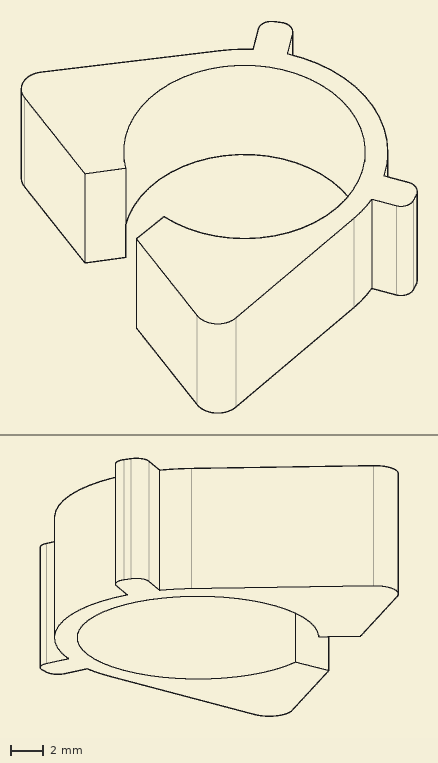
import cadquery as cq
import math

width = 24.8
depth = 18.55
height = 8.0

bore_radius = 7.55
outer_radius = 8.95
ring_y = depth - outer_radius

corner_radius = 1.5
mouth_half_width = 3.25

tab_angle = 40.0
tab_width = 2.18
left_tab_reach = 11.5
right_tab_reach = 11.36
tab_corner_radius = 0.85


def make_body():
    """Disc blended into two rounded feet by tangent flanks."""
    corner_x = width / 2 - corner_radius
    corner_y = corner_radius
    drop = ring_y - corner_y
    slope = math.atan2(drop, corner_x)
    normal = math.acos((outer_radius - corner_radius) / math.hypot(corner_x, drop)) - slope
    nx = math.cos(normal)
    ny = math.sin(normal)
    ring_touch = (outer_radius * nx, ring_y + outer_radius * ny)
    foot_touch = (corner_x + corner_radius * nx, corner_y + corner_radius * ny)
    middle = (normal - math.pi / 2) / 2
    foot_middle = (
        corner_x + corner_radius * math.cos(middle),
        corner_y + corner_radius * math.sin(middle),
    )

    def mirrored(point):
        return (-point[0], point[1])

    return (
        cq.Workplane("XY")
        .moveTo(-corner_x, 0)
        .lineTo(corner_x, 0)
        .threePointArc(foot_middle, foot_touch)
        .lineTo(*ring_touch)
        .threePointArc((0, depth), mirrored(ring_touch))
        .lineTo(*mirrored(foot_touch))
        .threePointArc(mirrored(foot_middle), (-corner_x, 0))
        .close()
        .extrude(height)
    )


def make_tab(angle, reach):
    """Radial tab with rounded tip corners, starting at the ring centre."""
    return (
        cq.Workplane("XY")
        .rect(reach, tab_width)
        .extrude(height)
        .translate((reach / 2, 0, 0))
        .edges("|Z and >X")
        .fillet(tab_corner_radius)
        .rotate((0, 0, 0), (0, 0, 1), angle)
        .translate((0, ring_y, 0))
    )


def make_mouth():
    """Wedge opening whose sides point at the ring centre."""
    return (
        cq.Workplane("XY")
        .polyline([(0, ring_y), (-mouth_half_width, 0), (mouth_half_width, 0)])
        .close()
        .extrude(height)
    )


result = make_body()
result = result.union(make_tab(tab_angle, right_tab_reach))
result = result.union(make_tab(180 - tab_angle, left_tab_reach))

bore = cq.Workplane("XY").center(0, ring_y).circle(bore_radius).extrude(height)
result = result.cut(bore).cut(make_mouth())